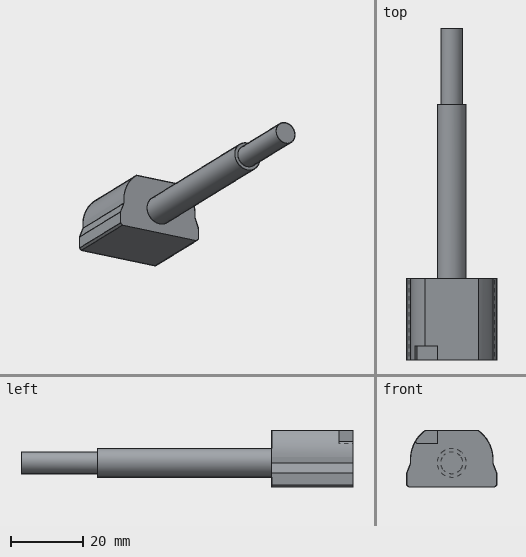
import cadquery as cq
import math

total_length = 91.6
head_length = 22.5
jacket_end = 70.6

head_width = 24.9
head_height = 15.7
base_chamfer = 0.595
skirt_top = 3.85
waist_bottom = 6.6
waist_top = 8.2
waist_width = 22.8
top_width = 14.7
shoulder_radius = 10.0

cable_height = 6.7
jacket_diameter = 8.0
core_diameter = 6.0

notch_depth = 3.85
notch_wall_x = -3.9
notch_floor_z = 12.1
notch_floor_edge_x = -9.6
lip_outer_x = -10.1
lip_top_z = 12.55


def shoulder_middle():
    """Midpoint of the right shoulder arc, which bulges outward from its chord."""
    inset = (waist_width - top_width) / 2
    rise = head_height - waist_top
    chord = math.hypot(inset, rise)
    bulge = shoulder_radius - math.sqrt(shoulder_radius**2 - (chord / 2) ** 2)
    x = (waist_width + top_width) / 4 + bulge * rise / chord
    z = (waist_top + head_height) / 2 + bulge * inset / chord
    return x, z


def extrude_back(profile, length):
    """Extrude an XZ profile toward +Y."""
    return profile.extrude(-length)


def make_notch():
    lip_slope = (lip_top_z - notch_floor_z) / (notch_floor_edge_x - lip_outer_x)
    outer_x = -head_width / 2
    outer_z = notch_floor_z + lip_slope * (notch_floor_edge_x - outer_x)
    profile = (
        cq.Workplane("XZ")
        .moveTo(notch_wall_x, notch_floor_z)
        .lineTo(notch_floor_edge_x, notch_floor_z)
        .lineTo(outer_x, outer_z)
        .lineTo(outer_x, head_height)
        .lineTo(notch_wall_x, head_height)
        .close()
    )
    return extrude_back(profile, notch_depth)


def make_head():
    half_width = head_width / 2
    half_waist = waist_width / 2
    half_top = top_width / 2
    half_base = half_width - base_chamfer
    middle_x, middle_z = shoulder_middle()
    profile = (
        cq.Workplane("XZ")
        .moveTo(-half_base, 0)
        .lineTo(half_base, 0)
        .lineTo(half_width, base_chamfer)
        .lineTo(half_width, skirt_top)
        .lineTo(half_waist, waist_bottom)
        .lineTo(half_waist, waist_top)
        .threePointArc((middle_x, middle_z), (half_top, head_height))
        .lineTo(-half_top, head_height)
        .threePointArc((-middle_x, middle_z), (-half_waist, waist_top))
        .lineTo(-half_waist, waist_bottom)
        .lineTo(-half_width, skirt_top)
        .lineTo(-half_width, base_chamfer)
        .close()
    )
    return extrude_back(profile, head_length).cut(make_notch())


def make_cable_section(diameter, start_y, end_y):
    """A round length of cable along Y."""
    section = cq.Workplane("XZ", origin=(0, start_y, cable_height)).circle(diameter / 2)
    return extrude_back(section, end_y - start_y)


head = make_head()
jacket = make_cable_section(jacket_diameter, head_length, jacket_end)
core = make_cable_section(core_diameter, jacket_end, total_length)

result = cq.Compound.makeCompound([head.val(), jacket.val(), core.val()])